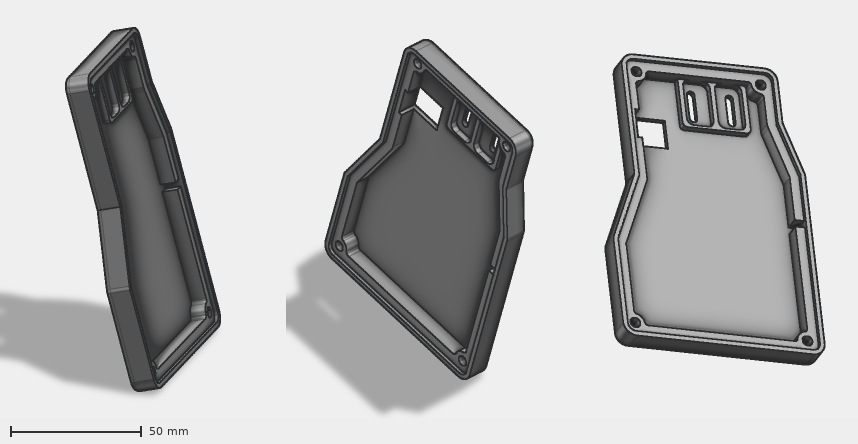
import cadquery as cq

tilt = 15.0

length = 124.3
depth = 10.0
left_edge = -41.9
right_edge = 41.9
neck_left = -30.0
neck_right = 35.0
left_shoulder = 42.4
left_neck_start = 71.5
right_shoulder = 79.1
right_neck_start = 100.8
corner_radius = 5.3
shoulder_radius = 4.0
face_fillet = 2.0

wall = 2.0
floor = 2.1
lid_depth = 1.6
ledge_width = 3.9
ledge_height = depth - lid_depth
pocket_inset = wall + ledge_width

screw_diameter = 4.2
boss_radius = 4.0
boss_fillet = 1.6
boss_left = -36.0
boss_right = 35.5
boss_inset = 6.6
boss_bottom = boss_inset
boss_neck_left = neck_left + boss_inset
boss_neck_right = neck_right - boss_inset
boss_top = length - boss_inset
boss_centers = [
    (boss_left, boss_bottom),
    (boss_right, boss_bottom),
    (boss_neck_left, boss_top),
    (boss_neck_right, boss_top),
]

window_width = 15.0
window_height = 12.2
window_left = -25.8
window_bottom = 88.8

slot_width = 3.2
slot_length = 13.5
slot_spacing = 16.0
slot_middle_x = 9.4
slot_middle_y = 108.5
cup_width = 11.2
cup_spacing = cup_width + wall
cup_end_wall = 1.1
cup_margin = 3.0
cup_bottom = slot_middle_y - slot_length / 2 - cup_margin
cup_top = length - pocket_inset
cup_block_top = length - wall
cup_radius = 2.9
cup_block_radius = 1.8
cup_height = 2.9

notch_width = 2.9
notch_bottom = 56.6

end_corners = [
    (left_edge, 0),
    (right_edge, 0),
    (neck_right, length),
    (neck_left, length),
]
shoulders = [(left_edge, left_shoulder), (right_edge, right_shoulder)]
outline = [
    (left_edge, 0),
    (right_edge, 0),
    (right_edge, right_shoulder),
    (neck_right, right_neck_start),
    (neck_right, length),
    (neck_left, length),
    (neck_left, left_neck_start),
    (left_edge, left_shoulder),
]


def box(x0, y0, z0, x1, y1, z1):
    """Block spanning two opposite corners."""
    return cq.Workplane("XY").box(x1 - x0, y1 - y0, z1 - z0, centered=False).translate((x0, y0, z0))


def round_edge_at(body, point, radius):
    """Fillet the depthwise edge that passes through one outline point."""
    reach = 0.1
    x, y = point
    near = cq.selectors.BoxSelector((x - reach, y - reach, -depth), (x + reach, y + reach, 2 * depth))
    return body.edges("|Z").edges(near).fillet(radius)


def outer_body(height):
    """Solid plate with its four end corners and two shoulders rounded."""
    body = cq.Workplane("XY").polyline(outline).close().extrude(height)
    for point in end_corners:
        body = round_edge_at(body, point, corner_radius)
    for point in shoulders:
        body = round_edge_at(body, point, shoulder_radius)
    return body


def lid_recess():
    """Shallow recess that seats a lid inside the rim."""
    rim = outer_body(ledge_height).faces(">Z").wires().toPending()
    return rim.offset2D(-wall).extrude(lid_depth, combine=False)


def pocket():
    """Main cavity, narrowed by a round boss in each corner."""
    cavity = (
        cq.Workplane("XY", origin=(0, 0, floor))
        .polyline(outline).close()
        .offset2D(-pocket_inset)
        .extrude(depth - floor)
    )
    bosses = cq.Workplane("XY").pushPoints(boss_centers).circle(boss_radius).extrude(depth)
    cavity = cavity.cut(bosses)
    reach = boss_radius + boss_fillet
    for x, y in boss_centers:
        near = cq.selectors.BoxSelector((x - reach, y - reach, 0), (x + reach, y + reach, depth))
        cavity = cavity.edges("|Z").edges(near).fillet(boss_fillet)
    return cavity


def slot_cups():
    """Raised block with a rounded cup around each slot, joined to the ledge at its top."""
    half_width = cup_spacing / 2 + cup_width / 2 + wall
    block = box(
        slot_middle_x - half_width, cup_bottom - cup_end_wall, floor,
        slot_middle_x + half_width, cup_block_top, floor + cup_height,
    ).edges("|Z").fillet(cup_block_radius)
    for side in (-1, 1):
        middle = slot_middle_x + side * cup_spacing / 2
        cup = box(
            middle - cup_width / 2, cup_bottom, floor,
            middle + cup_width / 2, cup_top, floor + cup_height,
        ).edges("|Z").fillet(cup_radius)
        block = block.cut(cup)
    return block


def slots():
    """Two long slots through the floor."""
    return (
        cq.Workplane("XY", origin=(slot_middle_x, slot_middle_y, 0))
        .rarray(slot_spacing, 1.2, 2, 1)
        .slot2D(slot_length, slot_width, 90)
        .extrude(floor)
    )


def screw_holes():
    """Blind screw holes down the bosses, stopping at the floor."""
    return (
        cq.Workplane("XY", origin=(0, 0, floor))
        .pushPoints(boss_centers)
        .circle(screw_diameter / 2)
        .extrude(depth)
    )


def window():
    """Rectangular opening through the floor and the ledge beside it."""
    return box(
        window_left, window_bottom, 0,
        window_left + window_width, window_bottom + window_height, depth,
    )


def cable_notch():
    """Narrow notch across the ledge, from the pocket to the rim and down to the floor."""
    return box(
        right_edge - pocket_inset, notch_bottom, floor,
        right_edge - wall, notch_bottom + notch_width, depth,
    )


shell = outer_body(depth).faces("<Z").edges().fillet(face_fillet)
shell = shell.cut(lid_recess()).cut(pocket()).union(slot_cups())
shell = shell.cut(slots()).cut(window()).cut(screw_holes()).cut(cable_notch())

standing = shell.rotate((0, 0, 0), (1, 0, 0), 90).rotate((0, 0, 0), (0, 0, 1), 90)
leaning = standing.rotate((0, 0, 0), (0, 1, 0), -tilt)
center = leaning.val().BoundingBox().center
result = leaning.translate(center.multiply(-1))